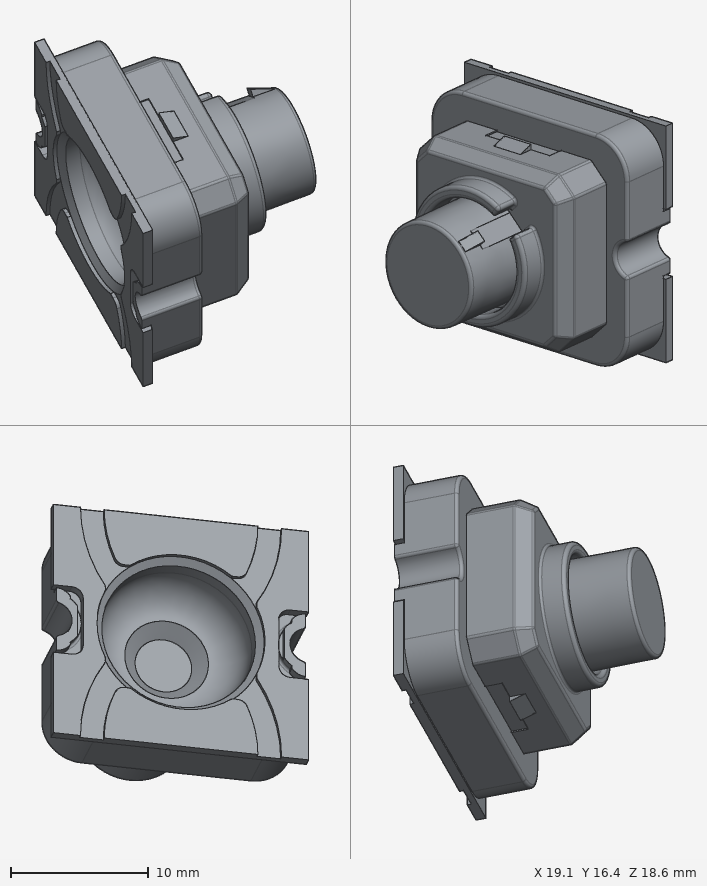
import cadquery as cq
import math

PLATE_X = 19.05
PLATE_Z = 18.6
PLATE_T = 0.76
NOTCH_HALF_Z = 2.75
NOTCH_INNER_X = 7.3
NOTCH_CORNER_R = 0.85
CHANNEL_DEPTH = 0.3
CHANNEL_OUTER_X = 7.5
CHANNEL_INNER_X = 5.73
CHANNEL_BEND_R = 11.28
CHANNEL_END_X = 5.65
CHANNEL_END_Z = 5.0
CHANNEL_CORNER_R = 0.76
MOUTH_R = 6.27

HOUSING_X = 18.6
HOUSING_Z = 18.17
HOUSING_CORNER_R = 3.0
HOUSING_BACK = 4.88
HOUSING_EDGE_R = 0.27
THROAT_R = 5.73
BOWL_START = 1.9
BOWL_END = 4.57
BOWL_END_R = 3.12
SIDE_GROOVE_R = 1.4
SIDE_GROOVE_LIP_R = 0.25

TAB_INNER_X = 8.27
TAB_HALF_Z = 2.53
TAB_ARC_R = 1.24
TAB_BULGE_R = 2.17
TAB_FLAT_X = 7.72
TAB_STEP = 0.38
BULGE_ROOT_R = 0.21

BLOCK_X = 14.63
BLOCK_Z = 13.95
BLOCK_CORNER = 1.45
BLOCK_SHOULDER = 8.5
BLOCK_BACK = 9.8
BLOCK_INSET = 0.76
BLOCK_EDGE_R = 0.3
FUNNEL_END_R = 2.11
COLLAR_R = 5.4
COLLAR_BORE_R = 4.45
COLLAR_BACK = 11.8
COLLAR_EDGE_R = 0.3
COLLAR_ROOT_R = 0.2
COLLAR_SLOT_W = 2.05
COLLAR_SLOT_CORNER_R = 0.3
SHAFT_R = 4.17
SHAFT_TIP_R = 4.11
SHAFT_BACK = 16.35
SHAFT_EDGE_R = 0.27

BLOCK_WEDGE_W = 2.51
BLOCK_WEDGE_RISE = 0.42
BLOCK_WEDGE_FRONT = 6.15
BLOCK_WEDGE_L = 1.2
BLOCK_FLAT_W = 6.05
FLAT_DEPTH = 0.11
SHAFT_WEDGE_W = 0.91
SHAFT_WEDGE_RISE = 0.57
SHAFT_WEDGE_FRONT = 14.27
SHAFT_WEDGE_L = 1.7
SHAFT_FLAT_W = 1.64
KEY_ANGLE = 45.0

TOLERANCE = 0.002


def sketch_at(y):
    """Workplane across the axis at depth y: local x is X, local y is Z."""
    return cq.Workplane("XZ", origin=(0, y, 0))


def block_between(x, z, y0, y1):
    """Centred rectangular block of size x by z from depth y0 to y1."""
    return sketch_at(y0).rect(x, z).extrude(y0 - y1)


def both_sides(shape):
    """The shape together with its mirror image in X."""
    return shape.union(shape.mirror("YZ"))


def turned(profile):
    """Revolve an (r, y) outline about the Y axis."""
    return profile.close().revolve(360, (0, 0, 0), (0, 1, 0))


def plate_notch():
    """Left notch, open to the side and rounded at its inner corners."""
    depth = PLATE_X / 2 - NOTCH_INNER_X
    return (
        sketch_at(0)
        .center(-NOTCH_INNER_X - depth, 0)
        .rect(2 * depth, 2 * NOTCH_HALF_Z)
        .extrude(-PLATE_T)
        .edges("|Y and >X")
        .fillet(NOTCH_CORNER_R)
    )


def channel():
    """Upper left channel: two concentric arcs from the top edge down to the mouth."""
    top = PLATE_Z / 2
    centre_x = CHANNEL_BEND_R - CHANNEL_OUTER_X
    inner_r = CHANNEL_BEND_R - (CHANNEL_OUTER_X - CHANNEL_INNER_X)

    def on_arc(radius, angle):
        return centre_x - radius * math.cos(angle), top - radius * math.sin(angle)

    outer_angle = math.acos((centre_x + CHANNEL_END_X) / CHANNEL_BEND_R)
    inner_angle = math.asin((top - CHANNEL_END_Z) / inner_r)
    inner_end = on_arc(inner_r, inner_angle)
    inside = MOUTH_R / 2
    return (
        sketch_at(0)
        .moveTo(*on_arc(CHANNEL_BEND_R, 0))
        .threePointArc(on_arc(CHANNEL_BEND_R, outer_angle / 2), on_arc(CHANNEL_BEND_R, outer_angle))
        .lineTo(-CHANNEL_END_X, inside / 2)
        .lineTo(-inside, inside / 2)
        .lineTo(-inside, CHANNEL_END_Z)
        .lineTo(*inner_end)
        .threePointArc(on_arc(inner_r, inner_angle / 2), on_arc(inner_r, 0))
        .close()
        .extrude(-CHANNEL_DEPTH)
        .edges(cq.selectors.NearestToPointSelector((inner_end[0], CHANNEL_DEPTH / 2, inner_end[1])))
        .fillet(CHANNEL_CORNER_R)
    )


def make_plate():
    """Plate with side notches, four channels and a countersunk mouth."""
    mouth = turned(
        cq.Workplane("XY")
        .lineTo(MOUTH_R, 0)
        .lineTo(MOUTH_R, CHANNEL_DEPTH)
        .lineTo(THROAT_R, PLATE_T)
        .lineTo(0, PLATE_T)
    )
    upper_channels = both_sides(channel())
    return (
        block_between(PLATE_X, PLATE_Z, 0, PLATE_T)
        .cut(both_sides(plate_notch()))
        .cut(upper_channels)
        .cut(upper_channels.mirror("XY"))
        .cut(mouth)
    )


def bowl():
    """Straight throat followed by a rounded bowl that ends at the core."""
    drop = BOWL_END - BOWL_START
    span = THROAT_R - BOWL_END_R
    radius = (span**2 + drop**2) / (2 * span)
    half_turn = math.asin(drop / radius) / 2
    middle = (
        THROAT_R - radius * (1 - math.cos(half_turn)),
        BOWL_START + radius * math.sin(half_turn),
    )
    return turned(
        cq.Workplane("XY")
        .moveTo(0, PLATE_T)
        .lineTo(THROAT_R, PLATE_T)
        .lineTo(THROAT_R, BOWL_START)
        .threePointArc(middle, (BOWL_END_R, BOWL_END))
        .lineTo(0, BOWL_END)
    )


def tab():
    """Left tab, flush with the plate front, with a round bulge that steps back."""
    outer_x = HOUSING_X / 2
    width = outer_x - TAB_INNER_X
    arc_drop = TAB_ARC_R - math.sqrt(TAB_ARC_R**2 - width**2)
    half_turn = math.asin(width / TAB_ARC_R) / 2
    mid_x = -outer_x + TAB_ARC_R * math.sin(half_turn)
    mid_z = TAB_HALF_Z - TAB_ARC_R * (1 - math.cos(half_turn))
    end_z = TAB_HALF_Z - arc_drop
    body = (
        sketch_at(0)
        .moveTo(-outer_x, TAB_HALF_Z)
        .threePointArc((mid_x, mid_z), (-TAB_INNER_X, end_z))
        .lineTo(-TAB_INNER_X, -end_z)
        .threePointArc((mid_x, -mid_z), (-outer_x, -TAB_HALF_Z))
        .close()
        .extrude(-PLATE_T)
    )
    disc = sketch_at(0).center(-PLATE_X / 2, 0).circle(TAB_BULGE_R).extrude(-PLATE_T)
    bulge = disc.intersect(block_between(HOUSING_X, HOUSING_Z, 0, PLATE_T))
    step = block_between(2 * TAB_FLAT_X, HOUSING_Z, 0, TAB_STEP)
    return body.union(bulge.cut(step))


def side_groove():
    """Left groove along the housing, flaring out to the side face over two rounded lips."""
    face_x = -HOUSING_X / 2
    axis_x = -PLATE_X / 2
    lip_x = face_x + SIDE_GROOVE_LIP_R
    reach = SIDE_GROOVE_R + SIDE_GROOVE_LIP_R
    lip_z = math.sqrt(reach**2 - (lip_x - axis_x) ** 2)
    shrink = SIDE_GROOVE_R / reach
    flare = (
        sketch_at(0)
        .moveTo(axis_x, lip_z)
        .lineTo(face_x, lip_z)
        .radiusArc((axis_x + (lip_x - axis_x) * shrink, lip_z * shrink), -SIDE_GROOVE_LIP_R)
        .lineTo(axis_x, 0)
        .close()
        .extrude(-HOUSING_BACK)
    )
    trough = sketch_at(0).center(axis_x, 0).circle(SIDE_GROOVE_R).extrude(-HOUSING_BACK)
    return trough.union(flare).union(flare.mirror("XY"))


def is_bulge_root(edge):
    """True for the arc where the bulge of a tab meets the front of the housing shell."""
    on_front = abs(edge.Center().y - PLATE_T) < TOLERANCE
    return on_front and edge.geomType() == "CIRCLE" and abs(edge.radius() - TAB_BULGE_R) < TOLERANCE


def make_housing(plate, core):
    """Housing with tabs trimmed to the plate notches and a back recess that matches the core."""
    shell = (
        block_between(HOUSING_X, HOUSING_Z, PLATE_T, HOUSING_BACK)
        .edges("|Y")
        .fillet(HOUSING_CORNER_R)
        .union(both_sides(tab()))
        .edges()
        .filter(is_bulge_root)
        .fillet(BULGE_ROOT_R)
        .cut(both_sides(side_groove()))
        .faces(">Y")
        .edges()
        .fillet(HOUSING_EDGE_R)
    )
    return shell.cut(plate).cut(core).cut(bowl())


def wedge(width, rise, front, length, seat):
    """Ramp on top of height `seat`, highest at its front end."""
    root = seat / 2
    return (
        cq.Workplane("YZ")
        .moveTo(front, root)
        .lineTo(front, seat + rise)
        .lineTo(front + length, seat)
        .lineTo(front + length, root)
        .close()
        .extrude(width / 2, both=True)
    )


def make_block():
    """Chamfered block that narrows towards the back, with a snap wedge above and below."""
    straight = block_between(BLOCK_X, BLOCK_Z, BOWL_END, BLOCK_SHOULDER)
    straight = straight.edges("|Y").chamfer(BLOCK_CORNER)
    slope = math.degrees(math.atan2(BLOCK_INSET, BLOCK_BACK - BLOCK_SHOULDER))
    tapered = straight.faces(">Y").wires().toPending().workplane()
    tapered = tapered.extrude(BLOCK_BACK - BLOCK_SHOULDER, taper=slope)
    tapered = tapered.edges("not <Y").fillet(BLOCK_EDGE_R)
    flat_z = BLOCK_Z / 2 - FLAT_DEPTH
    kept = block_between(BLOCK_FLAT_W, 2 * flat_z, BOWL_END, BLOCK_WEDGE_FRONT)
    clearance = block_between(BLOCK_FLAT_W, BLOCK_Z, BOWL_END, BLOCK_WEDGE_FRONT).cut(kept)
    clip = wedge(BLOCK_WEDGE_W, BLOCK_WEDGE_RISE, BLOCK_WEDGE_FRONT, BLOCK_WEDGE_L, BLOCK_Z / 2)
    return tapered.cut(clearance).union(clip).union(clip.mirror("XY"))


def make_collar():
    """Ring around the shaft, slotted on its upper side."""
    slot = (
        sketch_at(BLOCK_BACK)
        .center(0, COLLAR_R)
        .rect(COLLAR_SLOT_W, 2 * COLLAR_R)
        .extrude(BLOCK_BACK - COLLAR_BACK)
    )
    return (
        sketch_at(BLOCK_BACK)
        .circle(COLLAR_R)
        .circle(COLLAR_BORE_R)
        .extrude(BLOCK_BACK - COLLAR_BACK)
        .cut(slot)
        .edges("|Y and >Z")
        .fillet(COLLAR_SLOT_CORNER_R)
        .faces(">Y")
        .edges()
        .fillet(COLLAR_EDGE_R)
    )


def make_shaft():
    """Slightly tapered shaft with a snap wedge and a flat on its upper side."""
    shaft = turned(
        cq.Workplane("XY")
        .moveTo(0, BLOCK_BACK)
        .lineTo(SHAFT_R, BLOCK_BACK)
        .lineTo(SHAFT_TIP_R, SHAFT_BACK)
        .lineTo(0, SHAFT_BACK)
    )
    shaft = shaft.faces(">Y").edges().fillet(SHAFT_EDGE_R)
    flat = (
        sketch_at(BLOCK_BACK)
        .center(0, SHAFT_R + SHAFT_R / 2 - FLAT_DEPTH)
        .rect(SHAFT_FLAT_W, SHAFT_R)
        .extrude(BLOCK_BACK - SHAFT_WEDGE_FRONT)
    )
    clip = wedge(SHAFT_WEDGE_W, SHAFT_WEDGE_RISE, SHAFT_WEDGE_FRONT, SHAFT_WEDGE_L, SHAFT_TIP_R)
    return shaft.cut(flat).union(clip)


def is_collar_root(edge):
    """True for the outer arc where the collar meets the block."""
    on_block = abs(edge.Center().y - BLOCK_BACK) < TOLERANCE
    return on_block and edge.geomType() == "CIRCLE" and abs(edge.radius() - COLLAR_R) < TOLERANCE


def make_core():
    """Block, collar and shaft as one solid, still without its front funnel."""
    collar = make_collar().rotate((0, 0, 0), (0, 1, 0), -KEY_ANGLE)
    shaft = make_shaft().rotate((0, 0, 0), (0, 1, 0), -KEY_ANGLE)
    base = make_block().union(collar).edges().filter(is_collar_root).fillet(COLLAR_ROOT_R)
    return base.union(shaft)


def funnel():
    """Conical recess in the core that carries on from the bowl at 45 degrees."""
    funnel_end = BOWL_END + BOWL_END_R - FUNNEL_END_R
    return turned(
        cq.Workplane("XY")
        .moveTo(0, BOWL_END)
        .lineTo(BOWL_END_R, BOWL_END)
        .lineTo(FUNNEL_END_R, funnel_end)
        .lineTo(0, funnel_end)
    )


plate = make_plate()
solid_core = make_core()
housing = make_housing(plate, solid_core)
core = solid_core.cut(funnel())
bodies = [plate, housing, core]
result = cq.Compound.makeCompound([body.val().Solids()[0] for body in bodies])